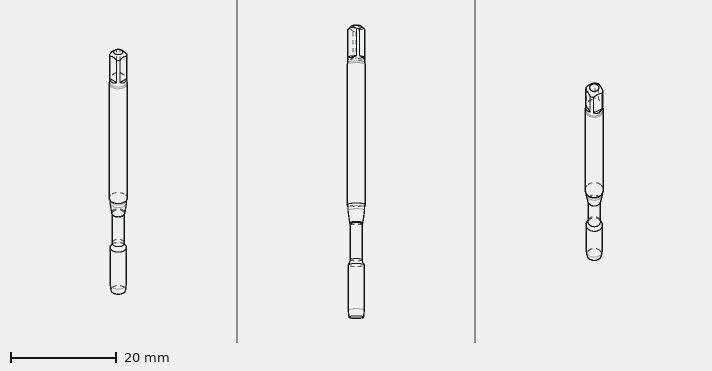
import cadquery as cq

TIP_TAPER_TOP = 1.35
HEAD_CYLINDER_TOP = 10.0
HEAD_TOP = 11.05
NECK_TOP = 18.0
CONE_BOTTOM = 18.15
COLLAR_BOTTOM = 20.55
COLLAR_TOP = 21.15
SHANK_BOTTOM = 21.6
SHANK_TOP = 48.6
DRIVE_BOTTOM = 48.95
FLATS_RUNOUT_BOTTOM = 49.7
FLATS_BOTTOM = 50.0
TOTAL_LENGTH = 56.0

TIP_DIAMETER = 2.8
HEAD_DIAMETER = 3.1
NECK_DIAMETER = 2.35
CONE_BOTTOM_DIAMETER = 2.5
COLLAR_DIAMETER = 3.2
SHANK_DIAMETER = 3.5
DRIVE_DIAMETER = 3.3
DRIVE_TOP_DIAMETER = 1.75

FLATS_WIDTH = 2.75
DRIVE_CHAMFER_HEIGHT = 0.8


def tangent_arc_radius(width, height):
    """Radius of an arc that starts vertical and spans the given width and height."""
    return (width ** 2 + height ** 2) / (2 * width)


def make_head():
    """Threading head: tapered tip, plain cylinder and a concave flare tangent to the neck."""
    neck_radius = NECK_DIAMETER / 2
    head_radius = HEAD_DIAMETER / 2
    flare_radius = tangent_arc_radius(head_radius - neck_radius, HEAD_TOP - HEAD_CYLINDER_TOP)
    return (
        cq.Workplane("XZ")
        .moveTo(0, HEAD_TOP)
        .lineTo(neck_radius, HEAD_TOP)
        .radiusArc((head_radius, HEAD_CYLINDER_TOP), -flare_radius)
        .lineTo(head_radius, TIP_TAPER_TOP)
        .lineTo(TIP_DIAMETER / 2, 0)
        .lineTo(0, 0)
        .close()
        .revolve(360, (0, 0), (0, 1))
    )


def make_flat_cutter():
    """Cutter for the flat on the +X side, with a sloping run-out at its foot."""
    flat = FLATS_WIDTH / 2
    outside = DRIVE_DIAMETER / 2
    outline = [
        (flat, FLATS_BOTTOM),
        (outside, FLATS_RUNOUT_BOTTOM),
        (SHANK_DIAMETER, FLATS_RUNOUT_BOTTOM),
        (SHANK_DIAMETER, TOTAL_LENGTH),
        (flat, TOTAL_LENGTH),
    ]
    return cq.Workplane("XZ").polyline(outline).close().extrude(SHANK_DIAMETER / 2, both=True)


def make_shank():
    """Neck, cone, collar with a concave shoulder, and cylindrical shank with the square drive."""
    neck_radius = NECK_DIAMETER / 2
    collar_radius = COLLAR_DIAMETER / 2
    shank_radius = SHANK_DIAMETER / 2
    drive_radius = DRIVE_DIAMETER / 2
    shoulder_radius = tangent_arc_radius(shank_radius - collar_radius, SHANK_BOTTOM - COLLAR_TOP)
    shank = (
        cq.Workplane("XZ")
        .moveTo(0, HEAD_TOP)
        .lineTo(neck_radius, HEAD_TOP)
        .lineTo(neck_radius, NECK_TOP)
        .lineTo(CONE_BOTTOM_DIAMETER / 2, CONE_BOTTOM)
        .lineTo(collar_radius, COLLAR_BOTTOM)
        .lineTo(collar_radius, COLLAR_TOP)
        .radiusArc((shank_radius, SHANK_BOTTOM), shoulder_radius)
        .lineTo(shank_radius, SHANK_TOP)
        .lineTo(drive_radius, DRIVE_BOTTOM)
        .lineTo(drive_radius, TOTAL_LENGTH - DRIVE_CHAMFER_HEIGHT)
        .lineTo(DRIVE_TOP_DIAMETER / 2, TOTAL_LENGTH)
        .lineTo(0, TOTAL_LENGTH)
        .close()
        .revolve(360, (0, 0), (0, 1))
    )
    cutter = make_flat_cutter()
    for angle in (0, 90, 180, 270):
        shank = shank.cut(cutter.rotate((0, 0, 0), (0, 0, 1), angle))
    return shank


head = make_head()
shank = make_shank()

result = cq.Compound.makeCompound([head.val(), shank.val()])